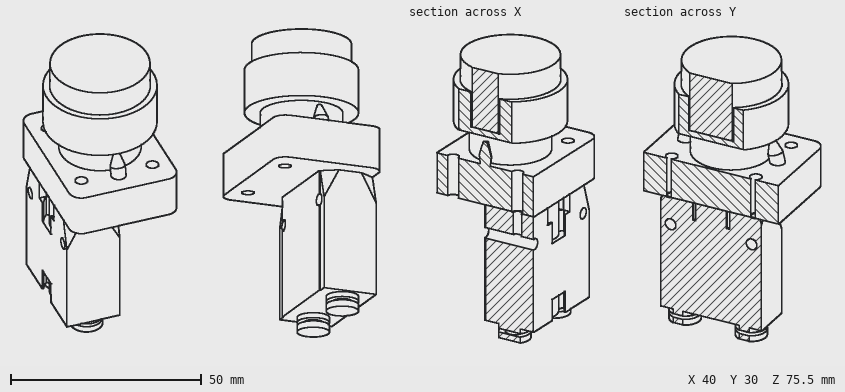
import cadquery as cq
import math

total_height = 75.5
collar_top_z = 68.4
collar_bottom_z = 56.55
plate_top_z = 48.55
plate_bottom_z = 37.0
block_bottom_z = 4.0
plate_thickness = plate_top_z - plate_bottom_z

button_d = 26.3
button_bore_d = 26.5
collar_d = 30.0
neck_d = 21.7
collar_wall = (collar_d - button_bore_d) / 2
button_seat_z = collar_bottom_z + collar_wall

plate_length = 40.0
plate_width = collar_d
plate_corner_r = 3.5
mount_hole_d = 3.25
mount_hole_x = 12.45
mount_hole_y = 10.0

screw_d = 4.0
screw_tip_d = 1.3
screw_tilt = 14.0
screw_root_x = 13.7
screw_shank = 2.7
screw_point = 3.9
screw_embed = 1.5

block_length = plate_width
front_y = -plate_width / 2
block_center_y = front_y / 2
block_depth = 14.9
back_y = front_y + block_depth
back_pad_thickness = 0.3
pad_back_y = back_y + back_pad_thickness
corner_cut_x = 2.6
corner_cut_y = 4.2
corner_cut_z = 7.9
back_pad_width = block_length - 2 * corner_cut_x
cross_hole_d = 3.0
cross_hole_x = 12.0
cross_hole_z = 29.1
screw_hole_d = 2.4
screw_hole_bottom_z = 30.1

core_r = 6.35
core_front_y = block_center_y - core_r
groove_outer_r = 7.8
groove_half_angle = math.radians(45)
core_width = 9.2
upper_groove_bottom_z = 26.05
lower_groove_top_z = 10.05
window_width = 6.4
window_depth = core_front_y - front_y
notch_width = 10.8
notch_depth = 3.9
notch_bottom_z = 32.0

fitting_x = 9.8
fitting_flange_d = 8.5
fitting_neck_d = 5.0
fitting_neck_top_z = 2.65
fitting_neck_bottom_z = 1.7


def cylinder(diameter, bottom_z, top_z, x=0.0, y=0.0):
    """Upright cylinder between two heights."""
    base = cq.Workplane("XY", origin=(x, y, bottom_z))
    return base.circle(diameter / 2).extrude(top_z - bottom_z)


def box(length, width, bottom_z, top_z, center_y):
    """Upright box centred on X = 0, between two heights."""
    base = cq.Workplane("XY", origin=(0, center_y, bottom_z))
    return base.rect(length, width).extrude(top_z - bottom_z)


def make_button():
    return cylinder(button_d, button_seat_z, total_height)


def make_screw(side):
    """Cylindrical shank with a conical point, rooted in the plate and leaning inwards."""
    half_profile = [
        (0, -screw_embed),
        (screw_d / 2, -screw_embed),
        (screw_d / 2, screw_shank),
        (screw_tip_d / 2, screw_shank + screw_point),
        (0, screw_shank + screw_point),
    ]
    screw = cq.Workplane("XZ").polyline(half_profile).close().revolve(360, (0, 0, 0), (0, 1, 0))
    screw = screw.rotate((0, 0, 0), (0, 1, 0), -side * screw_tilt)
    return screw.translate((side * screw_root_x, 0, plate_top_z))


def make_head():
    """Plate, neck and collar, with the recess that holds the button."""
    plate = box(plate_length, plate_width, plate_bottom_z, plate_top_z, 0)
    plate = plate.edges("|Z").fillet(plate_corner_r)
    mount_holes = [(sx * mount_hole_x, sy * mount_hole_y) for sx in (-1, 1) for sy in (-1, 1)]
    holes = cq.Workplane("XY", origin=(0, 0, plate_bottom_z)).pushPoints(mount_holes)
    plate = plate.cut(holes.circle(mount_hole_d / 2).extrude(plate_thickness))

    head = plate.union(cylinder(neck_d, plate_top_z, collar_bottom_z))
    head = head.union(cylinder(collar_d, collar_bottom_z, collar_top_z))
    for side in (-1, 1):
        head = head.union(make_screw(side))
    return head.cut(cylinder(button_bore_d, button_seat_z, collar_top_z))


def make_corner_cutter(side_x, side_y):
    """Tetrahedron that bevels one upper corner of the block."""
    corner_x = side_x * block_length / 2
    corner_y = front_y if side_y < 0 else back_y
    corner = cq.Vector(corner_x, corner_y, plate_bottom_z)
    along_x = corner - cq.Vector(side_x * corner_cut_x, 0, 0)
    along_y = corner - cq.Vector(0, side_y * corner_cut_y, 0)
    along_z = corner - cq.Vector(0, 0, corner_cut_z)
    triangles = [
        (corner, along_x, along_y),
        (corner, along_y, along_z),
        (corner, along_z, along_x),
        (along_x, along_z, along_y),
    ]
    faces = [cq.Face.makeFromWires(cq.Wire.makePolygon(points, close=True)) for points in triangles]
    return cq.Workplane(cq.Solid.makeSolid(cq.Shell.makeShell(faces)))


def make_window_cutter(bottom_z, top_z):
    """Ring-sector groove together with the straight window that opens it to the front."""
    arc_x = groove_outer_r * math.sin(groove_half_angle)
    arc_y = -groove_outer_r * math.cos(groove_half_angle)
    sector = (
        cq.Workplane("XY", origin=(0, block_center_y, bottom_z))
        .moveTo(0, 0)
        .lineTo(arc_x, arc_y)
        .threePointArc((0, -groove_outer_r), (-arc_x, arc_y))
        .close()
        .extrude(top_z - bottom_z)
    )
    window = box(window_width, window_depth, bottom_z, top_z, front_y + window_depth / 2)
    return sector.union(window)


def make_core(bottom_z, top_z):
    """Round-fronted core with flat sides that stays standing behind the grooves."""
    core = cylinder(2 * core_r, bottom_z, top_z, y=block_center_y)
    return core.intersect(box(core_width, 2 * core_r, bottom_z, top_z, block_center_y))


def make_upper_recess():
    """Upper window widened by a rectangular notch under the plate."""
    notch = box(notch_width, notch_depth, notch_bottom_z, plate_bottom_z, front_y + notch_depth / 2)
    window = make_window_cutter(upper_groove_bottom_z, plate_bottom_z)
    return window.union(notch).cut(make_core(upper_groove_bottom_z, plate_bottom_z))


def make_lower_recess():
    """Lower window, open at the bottom of the block."""
    window = make_window_cutter(block_bottom_z, lower_groove_top_z)
    return window.cut(make_core(block_bottom_z, lower_groove_top_z))


def make_fitting(x):
    """Two flanges with a thinner neck between them."""
    lower_flange = cylinder(fitting_flange_d, 0, fitting_neck_bottom_z, x, block_center_y)
    neck = cylinder(fitting_neck_d, fitting_neck_bottom_z, fitting_neck_top_z, x, block_center_y)
    upper_flange = cylinder(fitting_flange_d, fitting_neck_top_z, block_bottom_z, x, block_center_y)
    return lower_flange.union(neck).union(upper_flange)


def make_valve():
    """Block with bevelled upper corners, a back pad, front grooves, holes and port fittings."""
    valve = box(block_length, block_depth, block_bottom_z, plate_bottom_z, (front_y + back_y) / 2)
    for side_x in (-1, 1):
        for side_y in (-1, 1):
            valve = valve.cut(make_corner_cutter(side_x, side_y))

    pad_center_y = (back_y + pad_back_y) / 2
    back_pad = box(back_pad_width, back_pad_thickness, block_bottom_z, plate_bottom_z, pad_center_y)
    valve = valve.union(back_pad)
    valve = valve.cut(make_upper_recess()).cut(make_lower_recess())

    for side in (-1, 1):
        cross_hole = (
            cq.Workplane("XZ", origin=(side * cross_hole_x, pad_back_y, cross_hole_z))
            .circle(cross_hole_d / 2)
            .extrude(pad_back_y - front_y)
        )
        screw_hole = cylinder(
            screw_hole_d, screw_hole_bottom_z, plate_bottom_z, side * mount_hole_x, -mount_hole_y
        )
        valve = valve.cut(cross_hole).cut(screw_hole)
        valve = valve.union(make_fitting(side * fitting_x))
    return valve


button = make_button()
head = make_head()
valve = make_valve()

result = cq.Compound.makeCompound([button.val(), head.val(), valve.val()])